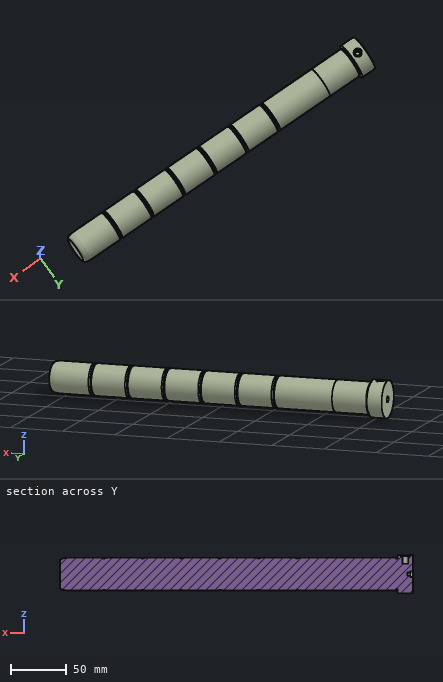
import cadquery as cq

length = 320.0
head_radius = 35.0 / 2
head_length = 14.0
fit_radius = 15.0
fit_end = 48.3
guide_radius = 14.98

relief_depth = 1.0
relief_width = 1.5

groove_count = 6
last_groove = 280.0
first_groove = 105.0
groove_width = 3.0
groove_pitch = (last_groove - first_groove) / (groove_count - 1)
groove_depth = 0.8

taper_length = 6.0
nose_length = 3.0
nose_shoulder_radius = 14.5
tip_radius = 12.0
nose_bulge = 0.5

port_x = head_length / 2
port_radius = 4.0
port_depth = 1.3
port_drill_radius = 2.5
port_drill_depth = 8.0

centre_radius = 2.5
centre_depth = 2.5
centre_drill_radius = 1.3
centre_drill_depth = 5.0


def pin_body():
    """Revolve the half profile about the X axis."""
    relief_end = head_length + relief_width
    profile = (
        cq.Workplane("XY")
        .moveTo(0, 0)
        .lineTo(0, head_radius)
        .lineTo(head_length, head_radius)
        .lineTo(head_length, fit_radius - relief_depth)
        .lineTo(relief_end, fit_radius - relief_depth)
        .lineTo(relief_end, fit_radius)
        .lineTo(fit_end, fit_radius)
        .lineTo(fit_end, guide_radius)
    )
    for index in range(groove_count):
        middle = first_groove + index * groove_pitch
        profile = (
            profile.lineTo(middle - groove_width / 2, guide_radius)
            .lineTo(middle, guide_radius - groove_depth)
            .lineTo(middle + groove_width / 2, guide_radius)
        )
    nose_middle = (
        length - nose_length / 2 + nose_bulge / 2,
        (nose_shoulder_radius + tip_radius + nose_bulge) / 2,
    )
    profile = (
        profile.lineTo(length - taper_length, guide_radius)
        .lineTo(length - nose_length, nose_shoulder_radius)
        .threePointArc(nose_middle, (length, tip_radius))
        .lineTo(length, 0)
        .close()
    )
    return profile.revolve(360, (0, 0, 0), (1, 0, 0))


def stepped_hole(face, radius, depth, drill_radius, drill_depth):
    """Cutter for a wide hole with a narrower, deeper drilling; face points out of the part."""
    wide = cq.Workplane(face).circle(radius).extrude(-depth)
    narrow = cq.Workplane(face).circle(drill_radius).extrude(-drill_depth)
    return wide.union(narrow)


top_of_head = cq.Plane(origin=(port_x, 0, head_radius), xDir=(1, 0, 0), normal=(0, 0, 1))
head_face = cq.Plane(origin=(0, 0, 0), xDir=(0, 1, 0), normal=(-1, 0, 0))

port = stepped_hole(top_of_head, port_radius, port_depth, port_drill_radius, port_drill_depth)
centre = stepped_hole(head_face, centre_radius, centre_depth, centre_drill_radius, centre_drill_depth)

result = pin_body().cut(port).cut(centre)